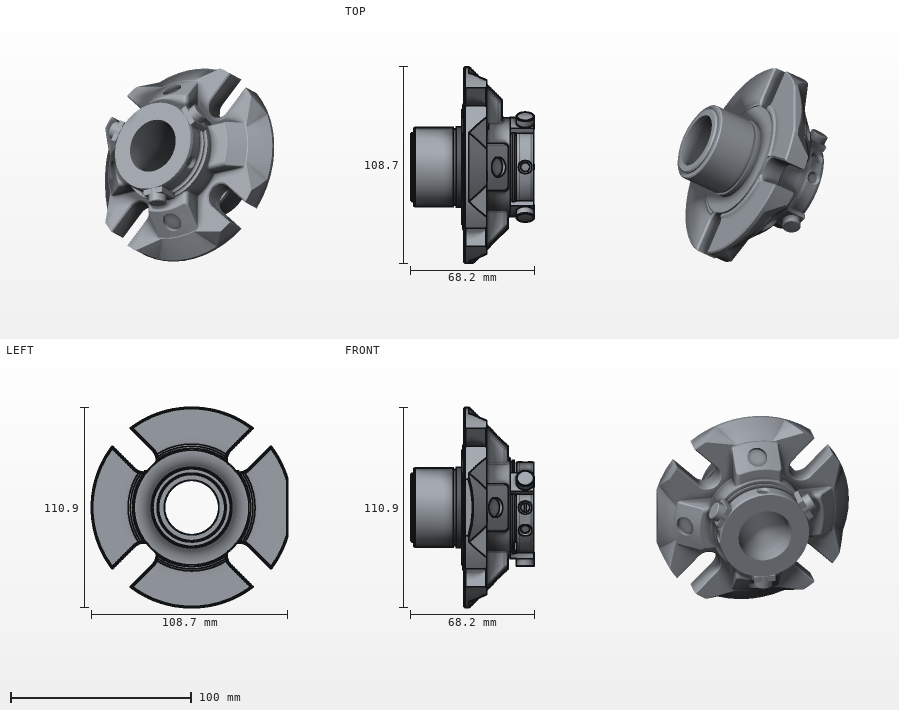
import cadquery as cq
import math


flange_radius = 55.45
flange_front = 29.3
flange_back = 42.0
flange_chamfer = 0.75
flat_distance = 53.2
cone_start = 32.1
wing_angles = (0, 90, 180, 270)
flat_bevel = 0.4
tolerance = 0.001

slot_width = 14.0
slot_end_center = 37.6
slot_front_chamfer = 0.95
slot_back_chamfer = 0.7

slope_tip_offset = 19.0
slope_twist = 11.4
slope_angle = 30.0

rib_half_width = 13.05
rib_end = 53.8
short_rib_end = 50.4
short_rib_angle = 270
rib_corner_radius = 2.4
rib_edge_radius = 0.9

port_diameter = 11.0
port_depth = 2.6
port_positions = ((0, 48.5), (90, 46.9), (180, 48.5))

hub_radius = 27.4
hub_end = 54.8
base_blend_radius = 0.9
face_radius = 63.5 / 2
face_start = 28.1
gasket_inner_radius = 32.7
gasket_crest_radius = 33.9
gasket_outer_radius = 35.1
gasket_start = 28.6
bore_diameter = 30.0
tip_radius = 38.18 / 2
tip_length = 1.7
tip_chamfer = 0.8
sleeve_radius = 43.97 / 2
sleeve_end = 23.3
sleeve_chamfer = 0.6
groove_radius = 42.16 / 2
shoulder_radius = 44.6 / 2
shoulder_start = 25.0

neck_radius = 50.75 / 2
disc_radius = 52.27 / 2
disc_start = 56.1
disc_end = 57.0
inner_sleeve_radius = 38.25 / 2
collar_radius = 50.75 / 2
collar_start = 58.3
collar_end = 68.0
collar_bevel_length = 1.7
collar_bevel_depth = 0.5

clip_angles = (60, 180, 300)
clip_width = 12.0
clip_outer_radius = 28.2
clip_inner_radius = 25.0
clip_lip_radius = 23.5
clip_lip_length = 2.9
screw_x = 63.21
screw_head_diameter = 10.0
screw_head_radius = 32.5
screw_head_chamfer = 0.4

set_screw_angles = (0, 120, 240)
set_hole_diameter = 5.0
slotted_screw_angle = 90
countersink_diameter = 7.8
set_hole_depth = 1.7
countersink_depth = 1.4
screw_slot_width = 0.9
screw_slot_depth = 0.6


def turned(points):
    """Solid of revolution about X from (x, radius) points."""
    return cq.Workplane("XY").polyline(points).close().revolve(360, (0, 0), (1, 0))


def ring(start, end, radius):
    return turned([(start, 0), (start, radius), (end, radius), (end, 0)])


def around_x(body, angle):
    """Turn a body from +Z about the X axis; 90 degrees brings it to -Y."""
    return body.rotate((0, 0, 0), (1, 0, 0), angle)


def radial_plane(x, radius):
    """Plane at the given radius on the +Z ray, facing outward."""
    return cq.Workplane(cq.Plane((x, 0, radius), (1, 0, 0), (0, 0, 1)))


def cone_radius(x):
    return flange_radius - (x - cone_start)


def flange_disc():
    c = flange_chamfer
    disc = turned([
        (flange_front, 0),
        (flange_front, flange_radius - c),
        (flange_front + c, flange_radius),
        (flange_back, flange_radius),
        (flange_back, 0),
    ])
    trim = cq.Workplane("XY").box(
        2 * flange_back, flange_radius + flat_distance, 2 * flange_radius + 2
    ).translate((flange_back, (flange_radius - flat_distance) / 2, 0))
    disc = disc.intersect(trim)
    flat_edge = disc.faces("<X").edges("<Y")
    return flat_edge.chamfer(c)


def slope_side():
    """Space in front of one sloped triangular face, reaching past the rim."""
    tip_height = math.sqrt(flange_radius**2 - slope_tip_offset**2)
    twist = math.radians(slope_twist)
    plane = cq.Plane(
        (cone_start, slope_tip_offset, tip_height),
        (1, 0, 0),
        (0, math.cos(twist), math.sin(twist)),
    )
    length = flange_back - cone_start + 1
    drop = length * math.tan(math.radians(slope_angle))
    outline = [(0, 0), (length, drop), (length, -flange_radius), (0, -flange_radius)]
    return cq.Workplane(plane).polyline(outline).close().extrude(flange_radius, both=True)


def wing_relief():
    """Cut that leaves the cone and its two triangular faces on one wing."""
    past_rim = flange_radius + 1
    outside_cone = turned([
        (cone_start - 1, past_rim),
        (flange_back, past_rim),
        (flange_back, cone_radius(flange_back)),
    ])
    side = slope_side()
    return outside_cone.intersect(side).intersect(side.mirror("XZ"))


def slot_cutter(start, length, half_width):
    """Radial slot with a round inner end, pointing along +Z."""
    reach = 2 * flange_radius
    return (
        cq.Workplane("YZ", origin=(start, 0, 0))
        .moveTo(-half_width, reach)
        .lineTo(-half_width, slot_end_center)
        .threePointArc((0, slot_end_center - half_width), (half_width, slot_end_center))
        .lineTo(half_width, reach)
        .close()
        .extrude(length)
    )


def slot():
    """Slot widened by a chamfer where it leaves both flange faces."""
    half = slot_width / 2
    front = slot_front_chamfer
    back = slot_back_chamfer
    past = 1.0
    body = slot_cutter(flange_front - past, flange_back - flange_front + 2 * past, half)
    front_block = slot_cutter(flange_front - past, past + front, half + front)
    front_bevel = front_block.faces(">X").edges().chamfer(front)
    back_block = slot_cutter(flange_back - back, back + past, half + back)
    back_bevel = back_block.faces("<X").edges().chamfer(back)
    return body.union(front_bevel).union(back_bevel)


def rib(end):
    start = flange_back - 2
    body = (
        radial_plane((start + end) / 2, 0)
        .rect(end - start, 2 * rib_half_width)
        .extrude(flange_radius)
        .edges("|Z and >X")
        .fillet(rib_corner_radius)
    )
    cone = turned([
        (start, 0),
        (start, cone_radius(start)),
        (end + 1, cone_radius(end + 1)),
        (end + 1, 0),
    ])
    body = body.intersect(cone)
    cone_top = cq.selectors.NearestToPointSelector((start, 0, cone_radius(start)))
    top_edges = body.faces(cone_top).edges("not <X")
    return top_edges.fillet(rib_edge_radius)


def edge_points(edge):
    return [edge.positionAt(share) for share in (0, 0.3, 0.5, 0.7, 1)]


def radius_of(point):
    return math.hypot(point.y, point.z)


def blend_base(body):
    """Round the inner corners where hub and ribs meet the flange and each other."""
    chosen = []
    for edge in body.edges().vals():
        points = edge_points(edge)
        xs = [point.x for point in points]
        radii = [radius_of(point) for point in points]
        on_flange = all(abs(x - flange_back) < tolerance for x in xs)
        on_hub = all(abs(radius - hub_radius) < tolerance for radius in radii)
        straight = edge.geomType() == "LINE"
        rib_side = straight and min(abs(points[0].y), abs(points[0].z)) > rib_half_width - tolerance
        hub_seam = straight and abs(abs(points[0].y) - abs(points[0].z)) < tolerance
        ends_at_rib = flange_back - tolerance < min(xs) and max(xs) < rib_end + tolerance
        if (on_flange and straight and rib_side) or (on_hub and ends_at_rib and not hub_seam):
            chosen.append(edge)
    return body.newObject(chosen).fillet(base_blend_radius)


def bevel_flat(body):
    """Bevel the curved edge between the flat and the cone of its wing."""
    chosen = [
        edge for edge in body.edges().vals()
        if edge.geomType() == "HYPERBOLA"
        and all(abs(point.y + flat_distance) < tolerance for point in edge_points(edge))
    ]
    return body.newObject(chosen).chamfer(flat_bevel)


def port(x):
    """Blind round port square to the 45 degree cone."""
    plane = cq.Plane((x, 0, cone_radius(x)), (0, 1, 0), (1, 0, 1))
    return cq.Workplane(plane).workplane(offset=-port_depth).circle(port_diameter / 2).extrude(2 * port_depth)


def gasket():
    return turned([
        (flange_front, gasket_inner_radius),
        (gasket_start, gasket_inner_radius),
        (gasket_start, gasket_crest_radius),
        (flange_front, gasket_outer_radius),
    ])


def sleeve():
    return turned([
        (0, 0),
        (0, tip_radius - tip_chamfer),
        (tip_chamfer, tip_radius),
        (tip_length, tip_radius),
        (tip_length, sleeve_radius - sleeve_chamfer),
        (tip_length + sleeve_chamfer, sleeve_radius),
        (sleeve_end, sleeve_radius),
        (sleeve_end, groove_radius),
        (shoulder_start, groove_radius),
        (shoulder_start, shoulder_radius),
        (face_start, shoulder_radius),
        (face_start, face_radius),
        (flange_front + 1, face_radius),
        (flange_front + 1, 0),
    ])


def collar_end_body():
    bevel_radius = collar_radius - collar_bevel_depth
    return turned([
        (hub_end - 1, 0),
        (hub_end - 1, neck_radius),
        (disc_start, neck_radius),
        (disc_start, disc_radius),
        (disc_end, disc_radius),
        (disc_end, inner_sleeve_radius),
        (collar_start, inner_sleeve_radius),
        (collar_start, bevel_radius),
        (collar_start + collar_bevel_length, collar_radius),
        (collar_end - collar_bevel_length, collar_radius),
        (collar_end, bevel_radius),
        (collar_end, 0),
    ])


def clip():
    plate = (
        radial_plane((hub_end + collar_end) / 2, clip_inner_radius)
        .rect(collar_end - hub_end, clip_width)
        .extrude(clip_outer_radius - clip_inner_radius)
    )
    lip = (
        radial_plane(hub_end + clip_lip_length / 2, clip_lip_radius)
        .rect(clip_lip_length, clip_width)
        .extrude(clip_outer_radius - clip_lip_radius)
    )
    head = (
        radial_plane(screw_x, clip_inner_radius)
        .circle(screw_head_diameter / 2)
        .extrude(screw_head_radius - clip_inner_radius)
        .faces(">Z")
        .edges()
        .chamfer(screw_head_chamfer)
    )
    return plate.union(lip).union(head)


def set_hole():
    """Blind countersunk hole in the collar."""
    depth = set_hole_depth
    hole = radial_plane(screw_x, collar_radius - depth).circle(set_hole_diameter / 2).extrude(2 * depth)
    sink = (
        radial_plane(screw_x, collar_radius - countersink_depth)
        .circle(set_hole_diameter / 2)
        .workplane(offset=countersink_depth)
        .circle(countersink_diameter / 2)
        .loft()
    )
    return hole.union(sink)


def screw_slot():
    return (
        radial_plane(screw_x, collar_radius - set_hole_depth - screw_slot_depth)
        .rect(screw_slot_width, set_hole_diameter)
        .extrude(set_hole_depth)
    )


result = flange_disc().union(around_x(ring(flange_front + 1, hub_end, hub_radius), 45))
for angle in wing_angles:
    end = short_rib_end if angle == short_rib_angle else rib_end
    result = result.union(around_x(rib(end), angle))
result = blend_base(result)

for angle in wing_angles:
    result = result.cut(around_x(wing_relief(), angle))
result = bevel_flat(result)
result = result.union(gasket())
for angle in wing_angles:
    result = result.cut(around_x(slot(), angle + 45))
for angle, x in port_positions:
    result = result.cut(around_x(port(x), angle))

result = result.union(sleeve()).union(collar_end_body())
for angle in set_screw_angles:
    result = result.cut(around_x(set_hole(), angle))
result = result.cut(around_x(set_hole(), slotted_screw_angle))
result = result.cut(around_x(screw_slot(), slotted_screw_angle))
for angle in clip_angles:
    result = result.union(around_x(clip(), angle))

result = result.cut(ring(-1, collar_end + 1, bore_diameter / 2))